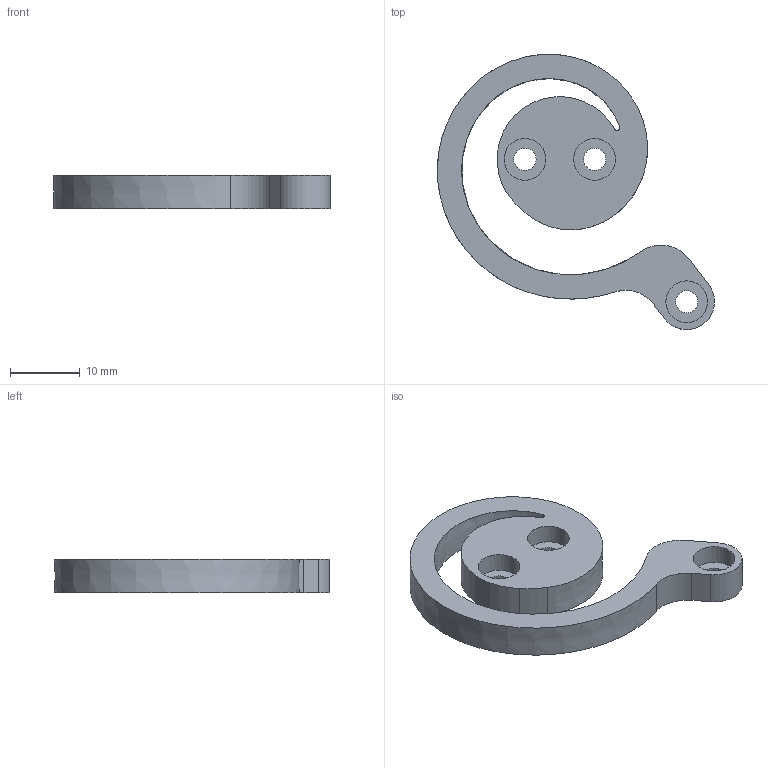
import cadquery as cq
import math

THICKNESS = 4.75

HUB_RADIUS = 9.0
HUB_HOLE_SPACING = 10.0

SPIRAL_PITCH = 10.0
OUTER_START_RADIUS = 12.5
ARM_WIDTH = 3.5
INNER_START_RADIUS = OUTER_START_RADIUS - ARM_WIDTH
ARM_ROOT_ANGLE = -140.0
SPIRAL_SAMPLES = 60

LUG_X = 18.23
LUG_Y = -20.45
LUG_RADIUS = 4.0
LUG_DIRECTION = -52.4

NECK_RADIUS = 5.0
SLOT_TIP_RADIUS = 0.4
HUB_BLEND_RADIUS = 15.0

BISECTION_STEPS = 60
ARM_END_ANGLES = (270.0, 350.0)
HUB_BLEND_END_ANGLES = (-125.0, -90.0)

HOLE_DIAMETER = 3.2
BORE_DIAMETER = 6.0
BORE_FLOOR = 2.0
BORE_DEPTH = THICKNESS - BORE_FLOOR

along = (math.cos(math.radians(LUG_DIRECTION)), math.sin(math.radians(LUG_DIRECTION)))
left = (-along[1], along[0])


def spiral_radius(start_radius, angle):
    """Radius of a spiral edge at an unwrapped angle in degrees."""
    return start_radius + SPIRAL_PITCH * angle / 360.0


def spiral_point(start_radius, angle):
    """Plan point of a spiral edge at an unwrapped angle in degrees."""
    radius = spiral_radius(start_radius, angle)
    return (radius * math.cos(math.radians(angle)), radius * math.sin(math.radians(angle)))


def spiral_edge(start_radius, first_angle, last_angle):
    """Curve function over 0..1 that follows a spiral edge between two angles."""
    def point(t):
        return spiral_point(start_radius, first_angle + t * (last_angle - first_angle))
    return point


def lug_point(ahead, aside):
    """Point given along and to the left of the lug direction, from the lug centre."""
    return (
        LUG_X + ahead * along[0] + aside * left[0],
        LUG_Y + ahead * along[1] + aside * left[1],
    )


def lug_offset(point):
    """Distance of a point to the left of the lug's centre line."""
    return (point[0] - LUG_X) * left[0] + (point[1] - LUG_Y) * left[1]


def bisect(function, low, high):
    """Root of a function that rises from negative to positive between low and high."""
    for _ in range(BISECTION_STEPS):
        middle = (low + high) / 2
        if function(middle) < 0:
            low = middle
        else:
            high = middle
    return low


def meeting_angle(start_radius, offset):
    """Angle at which a spiral edge meets the straight lug side at this offset."""
    def miss(angle):
        return lug_offset(spiral_point(start_radius, angle)) - offset
    return bisect(miss, *ARM_END_ANGLES)


outer_end_angle = meeting_angle(OUTER_START_RADIUS, -LUG_RADIUS)
inner_end_angle = meeting_angle(INNER_START_RADIUS, LUG_RADIUS)
outer_corner = spiral_point(OUTER_START_RADIUS, outer_end_angle)
inner_corner = spiral_point(INNER_START_RADIUS, inner_end_angle)


def make_arm():
    """Spiral band and lug as one plate, with sharp corners where they meet."""
    outer_edge = spiral_edge(OUTER_START_RADIUS, ARM_ROOT_ANGLE, outer_end_angle)
    inner_edge = spiral_edge(INNER_START_RADIUS, inner_end_angle, ARM_ROOT_ANGLE)
    return (
        cq.Workplane("XY")
        .parametricCurve(outer_edge, N=SPIRAL_SAMPLES, makeWire=False)
        .moveTo(*outer_corner)
        .lineTo(*lug_point(0, -LUG_RADIUS))
        .threePointArc(lug_point(LUG_RADIUS, 0), lug_point(0, LUG_RADIUS))
        .lineTo(*inner_corner)
        .parametricCurve(inner_edge, N=SPIRAL_SAMPLES, makeWire=False)
        .moveTo(*spiral_point(INNER_START_RADIUS, ARM_ROOT_ANGLE))
        .lineTo(*spiral_point(OUTER_START_RADIUS, ARM_ROOT_ANGLE))
        .wire()
        .extrude(THICKNESS)
    )


def blend(body, point, radius):
    """Round the vertical wall edge that stands at a plan point."""
    nearest = cq.selectors.NearestToPointSelector((point[0], point[1], THICKNESS / 2))
    return body.edges("|Z").edges(nearest).fillet(radius)


def slot_tip():
    """Point where the arm's inner edge meets the hub circle."""
    return spiral_point(INNER_START_RADIUS, (HUB_RADIUS - INNER_START_RADIUS) * 360.0 / SPIRAL_PITCH)


def hub_blend_centre(angle):
    """Centre of the blend arc that is tangent to the arm's outer edge at an angle."""
    radius = spiral_radius(OUTER_START_RADIUS, angle)
    growth_per_radian = SPIRAL_PITCH / (2 * math.pi)
    normal_angle = math.radians(angle) - math.atan(growth_per_radian / radius)
    x, y = spiral_point(OUTER_START_RADIUS, angle)
    return (
        x - HUB_BLEND_RADIUS * math.cos(normal_angle),
        y - HUB_BLEND_RADIUS * math.sin(normal_angle),
    )


def make_hub_blend():
    """Wedge whose arc is tangent to both the hub circle and the arm's outer edge."""
    centre_distance = HUB_BLEND_RADIUS - HUB_RADIUS

    def miss(angle):
        return centre_distance - math.hypot(*hub_blend_centre(angle))

    arm_end_angle = bisect(miss, *HUB_BLEND_END_ANGLES)
    centre_x, centre_y = hub_blend_centre(arm_end_angle)
    arm_end = spiral_point(OUTER_START_RADIUS, arm_end_angle)
    first = math.atan2(-centre_y, -centre_x)
    last = math.atan2(arm_end[1] - centre_y, arm_end[0] - centre_x)

    def arc_point(angle):
        return (
            centre_x + HUB_BLEND_RADIUS * math.cos(angle),
            centre_y + HUB_BLEND_RADIUS * math.sin(angle),
        )

    return (
        cq.Workplane("XY")
        .lineTo(*arc_point(first))
        .threePointArc(arc_point((first + last) / 2), arm_end)
        .close()
        .extrude(THICKNESS)
    )


def make_body():
    hub = cq.Workplane("XY").circle(HUB_RADIUS).extrude(THICKNESS)
    body = hub.union(make_arm())
    body = blend(body, outer_corner, NECK_RADIUS)
    body = blend(body, inner_corner, NECK_RADIUS)
    body = blend(body, slot_tip(), SLOT_TIP_RADIUS)
    return body.union(make_hub_blend())


def cut_holes(body):
    centres = [(-HUB_HOLE_SPACING / 2, 0), (HUB_HOLE_SPACING / 2, 0), (LUG_X, LUG_Y)]
    return (
        body.faces(">Z")
        .workplane(origin=(0, 0, THICKNESS))
        .pushPoints(centres)
        .cboreHole(HOLE_DIAMETER, BORE_DIAMETER, BORE_DEPTH)
    )


result = cut_holes(make_body())